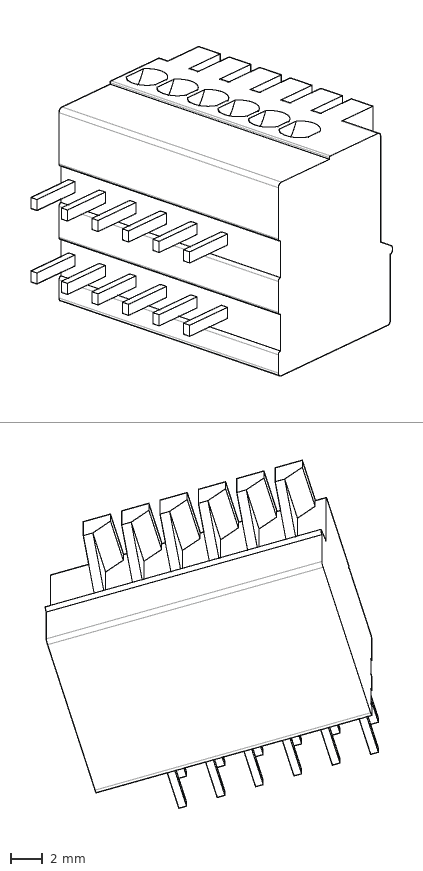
import cadquery as cq
import math

LENGTH = 18.24
HEIGHT = 13.6
STEP_DEPTH = 0.2
STEP_Y = 5.0
UPPER_BACK_Y = 10.01
LOWER_BACK_Y = 10.96
EDGE_RADIUS = 0.3
STEP_RADIUS = 0.1

NOSE_Y = 11.18
NOSE_ROOT_Z = 6.0
NOSE_SLOPE = math.radians(30)
NOSE_RADIUS = 0.33

POLES = 6
POLE_SPAN = 12.7
PITCH = POLE_SPAN / (POLES - 1)
ROW_PITCH = 2 * PITCH

GROOVE_DEPTH = 0.2
GROOVE_BOTTOM_Z = 1.75
GROOVE_HEIGHT = PITCH

PIN_WIDTH = 0.51
PIN_HEIGHT = 0.77
PIN_TIP_Y = -3.5
PIN_X = 0.9
PIN_Z = 3.14

LEVER_LEFT = 0.73
LEVER_WIDTH = 1.8
LEVER_INNER_Y = 8.83
LEVER_TIP_Y = 12.8
LEVER_SIDE_HEIGHT = 1.2
LEVER_BEVEL = 1.17
LEVER_FOOT_Z = 6.45

FUNNEL_X = 1.35
FUNNEL_Y = 7.02
FUNNEL_TOP_RADIUS = 1.31
FUNNEL_FLOOR_RADIUS = 0.73
FUNNEL_DEPTH = 2.0
FUNNEL_LEFT = 0.35
FUNNEL_WIDTH = 2.19


def pole_offsets():
    return [pole * PITCH for pole in range(POLES)]


def box(x, y, z, size_x, size_y, size_z):
    """Box with its lowest corner at (x, y, z)."""
    return cq.Workplane("XY").box(size_x, size_y, size_z, centered=False).translate((x, y, z))


def round_edges(body, points, radius):
    """Fillet the lengthwise edges that pass through the given (Y, Z) points."""
    for y, z in points:
        edge = cq.selectors.NearestToPointSelector((LENGTH / 2, y, z))
        body = body.edges("|X").edges(edge).fillet(radius)
    return body


def make_housing():
    front_top = HEIGHT - STEP_DEPTH

    tip_y = NOSE_Y - NOSE_RADIUS
    slope_drop = (tip_y - UPPER_BACK_Y) * math.tan(NOSE_SLOPE)
    tip_z = NOSE_ROOT_Z - slope_drop - NOSE_RADIUS / math.cos(NOSE_SLOPE)
    tangent_y = tip_y + NOSE_RADIUS * math.sin(NOSE_SLOPE)
    tangent_z = tip_z + NOSE_RADIUS * math.cos(NOSE_SLOPE)
    wall_top_z = tip_z - math.sqrt(NOSE_RADIUS**2 - (LOWER_BACK_Y - tip_y) ** 2)

    housing = (
        cq.Workplane("YZ")
        .polyline([
            (0, 0),
            (0, front_top),
            (STEP_Y, front_top),
            (STEP_Y, HEIGHT),
            (UPPER_BACK_Y, HEIGHT),
            (UPPER_BACK_Y, NOSE_ROOT_Z),
            (tangent_y, tangent_z),
        ])
        .threePointArc((NOSE_Y, tip_z), (LOWER_BACK_Y, wall_top_z))
        .lineTo(LOWER_BACK_Y, 0)
        .close()
        .extrude(LENGTH)
    )
    corners = [(0, 0), (0, front_top), (UPPER_BACK_Y, HEIGHT), (LOWER_BACK_Y, 0)]
    housing = round_edges(housing, corners, EDGE_RADIUS)
    return round_edges(housing, [(STEP_Y, HEIGHT)], STEP_RADIUS)


def make_groove(bottom_z):
    """Full-length groove whose mouth flares out in quarter rounds."""
    depth = GROOVE_DEPTH
    top_z = bottom_z + GROOVE_HEIGHT
    return (
        cq.Workplane("YZ")
        .moveTo(depth, bottom_z)
        .lineTo(depth, top_z)
        .radiusArc((0, top_z + depth), depth)
        .lineTo(0, bottom_z - depth)
        .radiusArc((depth, bottom_z), depth)
        .close()
        .extrude(LENGTH)
    )


def make_pin(x, z):
    return box(
        x - PIN_WIDTH / 2, PIN_TIP_Y, z - PIN_HEIGHT / 2,
        PIN_WIDTH, GROOVE_DEPTH - PIN_TIP_Y, PIN_HEIGHT,
    )


def make_lever(left):
    """Bar bevelled on its left side down to a web, with a slanted outer end."""
    right = left + LEVER_WIDTH
    bevel_top = HEIGHT - LEVER_SIDE_HEIGHT
    bevel_bottom = bevel_top - LEVER_BEVEL
    side_outline = [
        (LEVER_INNER_Y, HEIGHT),
        (LEVER_TIP_Y, HEIGHT),
        (LEVER_TIP_Y, bevel_bottom),
        (UPPER_BACK_Y, LEVER_FOOT_Z),
        (LEVER_INNER_Y, LEVER_FOOT_Z),
    ]
    section = [
        (left, HEIGHT),
        (right, HEIGHT),
        (right, LEVER_FOOT_Z),
        (left + LEVER_BEVEL, LEVER_FOOT_Z),
        (left + LEVER_BEVEL, bevel_bottom),
        (left, bevel_top),
    ]
    side = cq.Workplane("YZ", origin=(left, 0, 0)).polyline(side_outline).close().extrude(LEVER_WIDTH)
    bar = cq.Workplane("XZ").polyline(section).close().extrude(-LEVER_TIP_Y)
    return side.intersect(bar)


def make_funnel(offset):
    cone = cq.Workplane("XY").add(
        cq.Solid.makeCone(
            FUNNEL_FLOOR_RADIUS, FUNNEL_TOP_RADIUS, FUNNEL_DEPTH,
            pnt=cq.Vector(FUNNEL_X + offset, FUNNEL_Y, HEIGHT - FUNNEL_DEPTH),
        )
    )
    trim = box(
        FUNNEL_LEFT + offset, FUNNEL_Y - FUNNEL_TOP_RADIUS, HEIGHT - FUNNEL_DEPTH,
        FUNNEL_WIDTH, 2 * FUNNEL_TOP_RADIUS, FUNNEL_DEPTH,
    )
    return cone.intersect(trim)


result = make_housing()
for row_z in (0, ROW_PITCH):
    result = result.cut(make_groove(GROOVE_BOTTOM_Z + row_z))
    for offset in pole_offsets():
        result = result.union(make_pin(PIN_X + offset, PIN_Z + row_z))
for offset in pole_offsets():
    result = result.union(make_lever(LEVER_LEFT + offset))
    result = result.cut(make_funnel(offset))